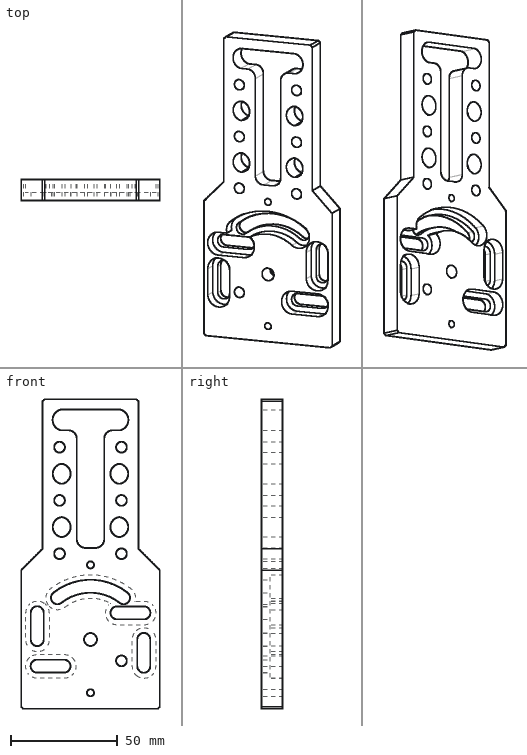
import cadquery as cq
import math

height = 145.0
thickness = 10.0
base_width = 65.0
neck_width = 45.0
shoulder_bottom = 65.0
shoulder_top = shoulder_bottom + (base_width - neck_width) / 2
corner_chamfer = 1.0

bar_length = 35.4
bar_flat_length = 27.8
bar_height = 9.5
bar_z = 135.3
stem_width = 12.8
stem_bottom = 75.4
stem_fillet = 4.0

row_pitch = 25.0
row_count = 3
first_row_z = 72.6
screw_diameter = 5.0
screw_x = 14.5
lens_x = 13.5
lens_width = 8.3
lens_height = 9.3

pivot_diameter = 6.0
pivot_z = 32.5
extra_screw_z = 22.5
pin_diameter = 3.2
pin_heights = (7.5, 67.4)

slot_width = pivot_diameter
slot_travel = 12.6
recess_width = 11.0
recess_depth = 6.1
upright_slot_x = 25.0
upright_slot_rise = 6.2
level_slot_x = 18.7
level_slot_rise = 12.5
arc_slot_radius = 25.0
arc_slot_half_angle = 38.4


def sketch_plane(depth=0):
    """XZ plane facing -Y, placed at a depth behind the front face."""
    return cq.Workplane("XZ", origin=(0, depth, 0))


def extrude_back(outline, length=thickness):
    return outline.extrude(-length)


def round_holes(points, diameter):
    return extrude_back(sketch_plane().pushPoints(points).circle(diameter / 2))


def make_plate():
    half_outline = [
        (0, 0),
        (base_width / 2 - corner_chamfer, 0),
        (base_width / 2, corner_chamfer),
        (base_width / 2, shoulder_bottom),
        (neck_width / 2, shoulder_top),
        (neck_width / 2, height - corner_chamfer),
        (neck_width / 2 - corner_chamfer, height),
        (0, height),
    ]
    return extrude_back(sketch_plane().polyline(half_outline).mirrorY())


def make_window():
    """Bar with shallow arc ends on a straight stem, rounded where the stem meets it and at the foot."""
    bar_top = bar_z + bar_height / 2
    bar_bottom = bar_z - bar_height / 2
    bar_outline = (
        sketch_plane()
        .moveTo(-bar_flat_length / 2, bar_top)
        .lineTo(bar_flat_length / 2, bar_top)
        .threePointArc((bar_length / 2, bar_z), (bar_flat_length / 2, bar_bottom))
        .lineTo(-bar_flat_length / 2, bar_bottom)
        .threePointArc((-bar_length / 2, bar_z), (-bar_flat_length / 2, bar_top))
        .close()
    )
    stem_height = bar_z - stem_bottom
    stem_outline = sketch_plane().center(0, stem_bottom + stem_height / 2).rect(stem_width, stem_height)
    window = extrude_back(bar_outline).union(extrude_back(stem_outline))
    stem_edges = [
        (side * stem_width / 2, thickness / 2, z)
        for side in (-1, 1)
        for z in (stem_bottom, bar_bottom)
    ]
    for point in stem_edges:
        window = window.edges(cq.selectors.NearestToPointSelector(point)).fillet(stem_fillet)
    return window


def make_lens_hole(x, z):
    """Two equal arcs that meet at the top and bottom tips."""
    top = (x, z + lens_height / 2)
    bottom = (x, z - lens_height / 2)
    outline = (
        sketch_plane()
        .moveTo(*bottom)
        .threePointArc((x + lens_width / 2, z), top)
        .threePointArc((x - lens_width / 2, z), bottom)
        .close()
    )
    return extrude_back(outline)


def make_neck_holes():
    row_heights = [first_row_z + row * row_pitch for row in range(row_count)]
    screw_points = [(side * screw_x, z) for side in (-1, 1) for z in row_heights]
    holes = round_holes(screw_points, screw_diameter)
    for side in (-1, 1):
        for z in row_heights[:-1]:
            holes = holes.union(make_lens_hole(side * lens_x, z + row_pitch / 2))
    return holes


def make_base_holes():
    pivot = round_holes([(0, pivot_z)], pivot_diameter)
    pins = round_holes([(0, z) for z in pin_heights], pin_diameter)
    extra_screw = round_holes([(screw_x, extra_screw_z)], screw_diameter)
    return pivot.union(pins).union(extra_screw)


def polar_point(radius, angle):
    """Point around the pivot; the angle in degrees runs clockwise from straight up."""
    turn = math.radians(angle)
    return (radius * math.sin(turn), pivot_z + radius * math.cos(turn))


def make_arc_slot(width, depth):
    """Curved slot with round ends, from a given depth through to the back face."""
    inner = arc_slot_radius - width / 2
    outer = arc_slot_radius + width / 2
    end = arc_slot_half_angle
    band_outline = (
        sketch_plane(depth)
        .moveTo(*polar_point(outer, -end))
        .threePointArc(polar_point(outer, 0), polar_point(outer, end))
        .lineTo(*polar_point(inner, end))
        .threePointArc(polar_point(inner, 0), polar_point(inner, -end))
        .close()
    )
    cap_points = [polar_point(arc_slot_radius, side * end) for side in (-1, 1)]
    cap_outlines = sketch_plane(depth).pushPoints(cap_points).circle(width / 2)
    length = thickness - depth
    return extrude_back(band_outline, length).union(extrude_back(cap_outlines, length))


def make_straight_slots(width, depth):
    """Two upright and two level slots, placed in half-turn symmetry about the pivot."""
    slots = sketch_plane()
    for side in (-1, 1):
        for x, rise, angle in (
            (upright_slot_x, -upright_slot_rise, 90),
            (level_slot_x, level_slot_rise, 0),
        ):
            plane = sketch_plane(depth).center(side * x, pivot_z + side * rise)
            outline = plane.slot2D(slot_travel + width, width, angle)
            slots = slots.add(extrude_back(outline, thickness - depth))
    return slots.combine()


result = make_plate().cut(make_window()).cut(make_neck_holes()).cut(make_base_holes())
for cut_width, cut_start in ((slot_width, 0), (recess_width, thickness - recess_depth)):
    result = result.cut(make_arc_slot(cut_width, cut_start))
    result = result.cut(make_straight_slots(cut_width, cut_start))